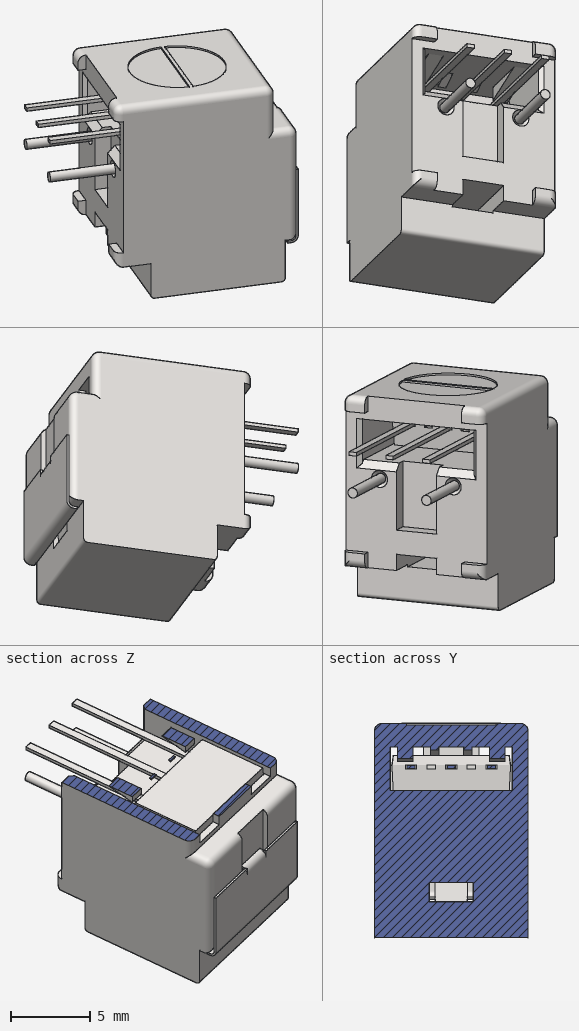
import cadquery as cq
import math

WIDTH = 9.7
TOP_Z = 13.55
BODY_BOTTOM_Z = 2.44
STEP_Z = 10.54
REAR_BOTTOM_Z = 2.87
STEP_Y = 9.99
REAR_Y = 11.49
EDGE_RADIUS = 0.5
SELECT_MARGIN = 0.16

PAD_HEIGHT = 0.52
PAD_WIDTH = 1.52
PAD_TOP_LENGTH = 1.0
PAD_BOTTOM_LENGTH = 1.0

FOOT_FRONT_Y = 1.79
FOOT_REAR_Y = 10.65
FOOT_EDGE_RADIUS = 0.27

WINDOW_BOTTOM_Z = 8.83
WINDOW_TOP_Z = 12.03
WINDOW_WIDTH = 8.21
CAVITY_FLOOR_Z = 9.3
CAVITY_WIDTH = 7.67
REAR_SILL_Z = 10.9
REAR_WALL = 0.48

POCKET_WIDTH = 2.75
POCKET_BOTTOM_Z = 5.05
POCKET_DEPTH = 1.05

BLOCK_NOSE_Y = 4.75
BLOCK_TOP_Z = 11.5
BLOCK_NOSE_WIDTH = 7.48
BLOCK_EDGE_WIDTH = 7.32
BLOCK_TOP_SETBACK = 0.1
BLOCK_BOTTOM_SETBACK = 0.16

PIN_PITCH = 2.54
PIN_WIDTH = 0.5
PIN_THICKNESS = 0.24
PIN_TOP_Z = 10.9
PIN_LENGTH = 4.22
PIN_ROOT = 0.16
PIN_SLOT_WIDTH = 0.7
SPARE_SLOT_WIDTH = 0.54
SLOT_DEPTH = 0.48
POST_DIAMETER = 0.65
POST_Z = 8.25
POST_COUNTERSINK_DIAMETER = 1.1

RAMP_END_Y = 4.44
OUTER_RAMP_START_Y = 0.8
OUTER_RAMP_X = 2.9
OUTER_RAMP_WIDTH = 1.0
OUTER_RAMP_TIP_Z = 11.13
INNER_RAMP_START_Y = 3.25
INNER_RAMP_X = 1.05
INNER_RAMP_WIDTH = 0.54
REAR_POST_WIDTH = 3.52

PLATE_WIDTH = 8.89
PLATE_THICKNESS = 0.15
PLATE_TOP_Z = 7.5
CURL_BOTTOM_Z = 2.44
CURL_END_Y = 10.94
BEND_RADIUS = 0.49
TONGUE_WIDTH = 2.05
TONGUE_TIP_Y = 10.22

TUNNEL_WIDTH = 2.75
TUNNEL_BOTTOM_Z = 2.3
TUNNEL_TOP_Z = 3.49
CHANNEL_DEPTH = 0.33

DISC_DIAMETER = 6.2
DISC_Y = 5.0
DISC_BAR = 0.24
DISC_DEPTH = 0.11


def box(width, y0, y1, z0, z1, x=0.0):
    """Box centred on x, between the given y and z limits."""
    return cq.Workplane("XY").box(width, y1 - y0, z1 - z0).translate((x, (y0 + y1) / 2, (z0 + z1) / 2))


def prism(points, width, x=0.0):
    """Side outline of (y, z) points, extruded along x and centred on x."""
    return cq.Workplane("YZ").polyline(points).close().extrude(width / 2, both=True).translate((x, 0, 0))


def make_housing():
    outline = [
        (-PAD_HEIGHT, BODY_BOTTOM_Z),
        (FOOT_REAR_Y, BODY_BOTTOM_Z),
        (FOOT_REAR_Y, REAR_BOTTOM_Z),
        (REAR_Y, REAR_BOTTOM_Z),
        (REAR_Y, STEP_Z),
        (STEP_Y, STEP_Z),
        (STEP_Y, TOP_Z),
        (-PAD_HEIGHT, TOP_Z),
    ]
    block = prism(outline, WIDTH)
    front = block.faces("<Y").edges()
    top = block.faces(">Z").edges()
    rear = block.faces(">Y").edges()
    upper_rear = block.edges("|Z").edges(cq.selectors.BoxSelector(
        (-WIDTH, STEP_Y - SELECT_MARGIN, STEP_Z), (WIDTH, STEP_Y + SELECT_MARGIN, TOP_Z)))
    step_sides = block.edges("|Y").edges(cq.selectors.BoxSelector(
        (-WIDTH, STEP_Y, STEP_Z - SELECT_MARGIN), (WIDTH, REAR_Y, STEP_Z + SELECT_MARGIN)))
    rounded = front.add(top).add(rear).add(upper_rear).add(step_sides)
    block = block.newObject(rounded.vals()).fillet(EDGE_RADIUS)

    gap_width = WIDTH - 2 * PAD_WIDTH
    block = block.cut(box(gap_width, -PAD_HEIGHT, 0, BODY_BOTTOM_Z, TOP_Z))
    pad_gap_bottom = BODY_BOTTOM_Z + PAD_BOTTOM_LENGTH
    pad_gap_top = TOP_Z - PAD_TOP_LENGTH
    block = block.cut(box(WIDTH, -PAD_HEIGHT, 0, pad_gap_bottom, pad_gap_top))

    foot = box(WIDTH, FOOT_FRONT_Y, FOOT_REAR_Y, 0, REAR_BOTTOM_Z)
    foot = foot.faces("<Z").edges("|X").fillet(FOOT_EDGE_RADIUS)
    return block.union(foot)


def make_cavity():
    side_bevel = (WINDOW_WIDTH - CAVITY_WIDTH) / 2
    bottom_bevel = CAVITY_FLOOR_Z - WINDOW_BOTTOM_Z
    rear_wall_y = STEP_Y - REAR_WALL
    cavity = box(CAVITY_WIDTH, 0, rear_wall_y, CAVITY_FLOOR_Z, WINDOW_TOP_Z)
    cavity = cavity.union(box(CAVITY_WIDTH, 0, STEP_Y, REAR_SILL_Z, WINDOW_TOP_Z))

    bottom_slope = prism([
        (0, WINDOW_BOTTOM_Z),
        (bottom_bevel, CAVITY_FLOOR_Z),
        (bottom_bevel, WINDOW_TOP_Z),
        (0, WINDOW_TOP_Z),
    ], WINDOW_WIDTH)
    side_slopes = (
        cq.Workplane("XY", origin=(0, 0, WINDOW_BOTTOM_Z))
        .polyline([
            (-WINDOW_WIDTH / 2, 0),
            (WINDOW_WIDTH / 2, 0),
            (CAVITY_WIDTH / 2, side_bevel),
            (CAVITY_WIDTH / 2, bottom_bevel),
            (-CAVITY_WIDTH / 2, bottom_bevel),
            (-CAVITY_WIDTH / 2, side_bevel),
        ])
        .close()
        .extrude(WINDOW_TOP_Z - WINDOW_BOTTOM_Z)
    )
    pocket = box(POCKET_WIDTH, 0, POCKET_DEPTH, POCKET_BOTTOM_Z, CAVITY_FLOOR_Z)
    return cavity.union(bottom_slope.intersect(side_slopes)).union(pocket)


def make_terminal_block():
    rear_wall_y = STEP_Y - REAR_WALL
    side = prism([
        (BLOCK_NOSE_Y, PIN_TOP_Z),
        (BLOCK_NOSE_Y + BLOCK_TOP_SETBACK, BLOCK_TOP_Z),
        (rear_wall_y, BLOCK_TOP_Z),
        (rear_wall_y, CAVITY_FLOOR_Z),
        (BLOCK_NOSE_Y + BLOCK_BOTTOM_SETBACK, CAVITY_FLOOR_Z),
    ], BLOCK_NOSE_WIDTH)
    half_edge = BLOCK_EDGE_WIDTH / 2
    half_nose = BLOCK_NOSE_WIDTH / 2
    front = (
        cq.Workplane("XZ")
        .polyline([
            (-half_edge, CAVITY_FLOOR_Z),
            (half_edge, CAVITY_FLOOR_Z),
            (half_nose, PIN_TOP_Z),
            (half_edge, BLOCK_TOP_Z),
            (-half_edge, BLOCK_TOP_Z),
            (-half_nose, PIN_TOP_Z),
        ])
        .close()
        .extrude(-STEP_Y)
    )
    block = side.intersect(front)
    slot_end_y = BLOCK_NOSE_Y + SLOT_DEPTH
    slot_bottom_z = PIN_TOP_Z - PIN_THICKNESS
    for step in range(-2, 3):
        slot_width = SPARE_SLOT_WIDTH if step % 2 else PIN_SLOT_WIDTH
        x = step * PIN_PITCH / 2
        block = block.cut(box(slot_width, BLOCK_NOSE_Y, slot_end_y, slot_bottom_z, PIN_TOP_Z, x))
    return block


def make_ramp(x, width, start_y, tip_z):
    """Wedge hanging from the cavity roof, sloping down toward the rear."""
    return prism([
        (start_y, WINDOW_TOP_Z),
        (RAMP_END_Y, tip_z),
        (RAMP_END_Y, WINDOW_TOP_Z),
    ], width, x)


def make_roof_and_rear_details():
    details = box(REAR_POST_WIDTH, STEP_Y - REAR_WALL, STEP_Y, REAR_SILL_Z, WINDOW_TOP_Z)
    for side in (-1, 1):
        outer_x = side * OUTER_RAMP_X
        inner_x = side * INNER_RAMP_X
        details = details.union(make_ramp(outer_x, OUTER_RAMP_WIDTH, OUTER_RAMP_START_Y, OUTER_RAMP_TIP_Z))
        details = details.union(make_ramp(inner_x, INNER_RAMP_WIDTH, INNER_RAMP_START_Y, BLOCK_TOP_Z))
    return details


def make_pins():
    pins = cq.Workplane("XY")
    pin_end_y = BLOCK_NOSE_Y + SLOT_DEPTH + PIN_ROOT
    for x in (-PIN_PITCH, 0, PIN_PITCH):
        pins = pins.union(box(PIN_WIDTH, -PIN_LENGTH, pin_end_y, PIN_TOP_Z - PIN_THICKNESS, PIN_TOP_Z, x))
    return pins


def add_posts(body):
    countersink_depth = (POST_COUNTERSINK_DIAMETER - POST_DIAMETER) / 2
    for x in (-PIN_PITCH, PIN_PITCH):
        cone = cq.Solid.makeCone(
            POST_COUNTERSINK_DIAMETER / 2, POST_DIAMETER / 2, countersink_depth,
            cq.Vector(x, 0, POST_Z), cq.Vector(0, 1, 0))
        post = cq.Solid.makeCylinder(
            POST_DIAMETER / 2, PIN_LENGTH + POCKET_DEPTH,
            cq.Vector(x, -PIN_LENGTH, POST_Z), cq.Vector(0, 1, 0))
        body = body.cut(cq.Workplane(cone)).union(cq.Workplane(post))
    return body


def make_tongue_passage():
    tunnel = box(TUNNEL_WIDTH, 0, REAR_Y, TUNNEL_BOTTOM_Z, TUNNEL_TOP_Z)
    channel = box(TUNNEL_WIDTH, REAR_Y - CHANNEL_DEPTH, REAR_Y, TUNNEL_BOTTOM_Z, STEP_Z)
    return tunnel.union(channel)


def make_bent_strip(start_z, bend_z, end_y, width):
    """Strip on the rear face, rounded forward to height bend_z and ending flat at end_y."""
    direction = math.copysign(1, bend_z - start_z)
    outer_y = REAR_Y + PLATE_THICKNESS
    center_y = outer_y - BEND_RADIUS
    center_z = bend_z - direction * BEND_RADIUS
    inner_radius = BEND_RADIUS - PLATE_THICKNESS
    inner_z = bend_z - direction * PLATE_THICKNESS
    diagonal = math.sqrt(0.5)
    outer_mid = (center_y + BEND_RADIUS * diagonal, center_z + direction * BEND_RADIUS * diagonal)
    inner_mid = (center_y + inner_radius * diagonal, center_z + direction * inner_radius * diagonal)
    return (
        cq.Workplane("YZ")
        .moveTo(REAR_Y, start_z)
        .lineTo(outer_y, start_z)
        .lineTo(outer_y, center_z)
        .threePointArc(outer_mid, (center_y, bend_z))
        .lineTo(end_y, bend_z)
        .lineTo(end_y, inner_z)
        .lineTo(center_y, inner_z)
        .threePointArc(inner_mid, (REAR_Y, center_z))
        .close()
        .extrude(width / 2, both=True)
    )


def make_spring_plate():
    outer_y = REAR_Y + PLATE_THICKNESS
    hook_start_z = PLATE_TOP_Z - BEND_RADIUS
    plate = make_bent_strip(PLATE_TOP_Z, CURL_BOTTOM_Z, CURL_END_Y, PLATE_WIDTH)
    plate = plate.cut(box(TONGUE_WIDTH, REAR_Y, outer_y, hook_start_z, PLATE_TOP_Z))

    hook_end_y = REAR_Y - CHANNEL_DEPTH - PLATE_THICKNESS
    hook = make_bent_strip(hook_start_z - PLATE_THICKNESS, PLATE_TOP_Z, hook_end_y, TONGUE_WIDTH)
    tongue = prism([
        (hook_end_y, PLATE_TOP_Z),
        (hook_end_y + PLATE_THICKNESS, PLATE_TOP_Z),
        (TONGUE_TIP_Y + PLATE_THICKNESS, TUNNEL_BOTTOM_Z),
        (TONGUE_TIP_Y, TUNNEL_BOTTOM_Z),
    ], TONGUE_WIDTH)
    return plate.union(hook).union(tongue)


def make_top_marking():
    disc = (
        cq.Workplane("XY", origin=(0, DISC_Y, TOP_Z - DISC_DEPTH))
        .circle(DISC_DIAMETER / 2)
        .extrude(DISC_DEPTH)
    )
    bar = box(DISC_DIAMETER, DISC_Y - DISC_BAR / 2, DISC_Y + DISC_BAR / 2, TOP_Z - DISC_DEPTH, TOP_Z)
    return disc.cut(bar)


housing = make_housing().cut(make_cavity()).cut(make_tongue_passage()).cut(make_top_marking())
housing = housing.union(make_terminal_block()).union(make_roof_and_rear_details()).union(make_pins())
result = add_posts(housing).union(make_spring_plate())